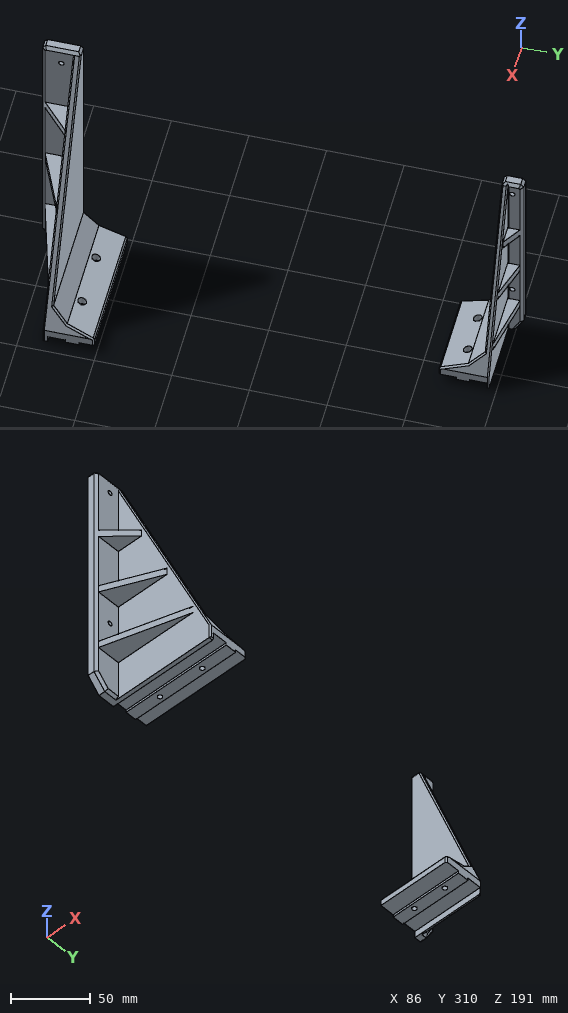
import cadquery as cq

SPAN = 310.0

PLATE_THICKNESS = 7.0
PLATE_CHAMFER = 2.0
PLATE_HOLE_DIAMETER = 3.5

SHELF_BOTTOM = 5.5
FOOT_CHAMFER_HEIGHT = 10.5
PAD_DROP = 2.0
PAD_WIDTH = 8.7
TOE_HEIGHT = 6.0
SLOPE_RISE = 6.2
GUSSET_SIZE = 10.0

TOE_TOP = SHELF_BOTTOM + TOE_HEIGHT
EDGE_CHAMFER = 1.0

SCREW_HOLE_DIAMETER = 3.5
SCREW_HEAD_DIAMETER = 5.3
SCREW_SEAT_HEIGHT = 5.0

RIB_COUNT = 3
RIB_THICKNESS = 5.5
RIB_SETBACK = 3.0


def plate(height, foot_start, foot_end):
    """Upright plate down to the foot, bevelled around its +X face."""
    return (
        cq.Workplane("YZ")
        .moveTo(foot_start, 0)
        .lineTo(foot_end, 0)
        .lineTo(foot_end, height)
        .lineTo(PLATE_CHAMFER, height)
        .lineTo(0, height - PLATE_CHAMFER)
        .lineTo(0, FOOT_CHAMFER_HEIGHT)
        .close()
        .extrude(PLATE_THICKNESS)
        .faces(">X")
        .chamfer(PLATE_CHAMFER)
    )


def web_and_shelf(length, height, plate_width, web_start, toe_reach, foot_end, pad_start):
    """Web with the shelf along its inner side, cut to the sloping outline."""
    pad_end = pad_start + PAD_WIDTH
    slope_start = plate_width + GUSSET_SIZE
    slope_top = TOE_TOP + SLOPE_RISE
    section = (
        cq.Workplane("YZ")
        .moveTo(web_start, 0)
        .lineTo(foot_end, 0)
        .lineTo(foot_end, SHELF_BOTTOM)
        .lineTo(pad_start, SHELF_BOTTOM)
        .lineTo(pad_start, SHELF_BOTTOM - PAD_DROP)
        .lineTo(pad_end, SHELF_BOTTOM - PAD_DROP)
        .lineTo(pad_end, SHELF_BOTTOM)
        .lineTo(toe_reach, SHELF_BOTTOM)
        .lineTo(toe_reach, TOE_TOP)
        .lineTo(slope_start, slope_top)
        .lineTo(plate_width, slope_top + GUSSET_SIZE)
        .lineTo(plate_width, height - PLATE_CHAMFER)
        .lineTo(plate_width - PLATE_CHAMFER, height)
        .lineTo(web_start, height)
        .close()
        .extrude(length)
    )

    outline = (
        cq.Workplane("XZ")
        .lineTo(length, 0)
        .lineTo(length, TOE_TOP)
        .lineTo(PLATE_THICKNESS, height - PLATE_CHAMFER)
        .lineTo(PLATE_THICKNESS - PLATE_CHAMFER, height)
        .lineTo(0, height)
        .close()
        .extrude(-toe_reach)
    )
    block = section.intersect(outline)

    run = length - PLATE_THICKNESS
    rise = height - PLATE_CHAMFER - TOE_TOP
    sloping_face = block.faces(cq.selectors.DirectionMinMaxSelector(cq.Vector(rise, 0, run)))
    end_edges = block.faces(">X").edges("<Y or >Y or <Z")
    bevelled_edges = sloping_face.edges("not |Y").vals() + end_edges.vals()
    block = block.newObject(bevelled_edges).chamfer(EDGE_CHAMFER)

    toe_slope = SLOPE_RISE / (toe_reach - slope_start)
    toe_corner = (
        cq.Workplane("YZ")
        .moveTo(toe_reach, TOE_TOP - EDGE_CHAMFER)
        .lineTo(toe_reach, TOE_TOP + EDGE_CHAMFER)
        .lineTo(toe_reach - EDGE_CHAMFER, TOE_TOP + EDGE_CHAMFER)
        .lineTo(toe_reach - EDGE_CHAMFER, TOE_TOP + EDGE_CHAMFER * toe_slope)
        .close()
        .extrude(length)
    )
    return block.cut(toe_corner)


def rib(tip_x, web_start, height):
    """Flat triangle bracing the plate against the outer face of the web, centred on its height."""
    return (
        cq.Workplane("XY", origin=(0, 0, height - RIB_THICKNESS / 2))
        .moveTo(PLATE_THICKNESS, PLATE_CHAMFER)
        .lineTo(tip_x, web_start)
        .lineTo(PLATE_THICKNESS, web_start)
        .close()
        .extrude(RIB_THICKNESS)
    )


def plate_holes(plate_width, heights):
    """Round holes through the plate, along its centre line."""
    return (
        cq.Workplane("YZ")
        .pushPoints([(plate_width / 2, height) for height in heights])
        .circle(PLATE_HOLE_DIAMETER / 2)
        .extrude(PLATE_THICKNESS)
    )


def screw_holes(places, screw_y, top):
    """Vertical counterbored holes through the shelf, open upwards."""
    points = [(x, screw_y) for x in places]
    shanks = cq.Workplane("XY").pushPoints(points).circle(SCREW_HOLE_DIAMETER / 2).extrude(top)
    heads = (
        cq.Workplane("XY", origin=(0, 0, SHELF_BOTTOM + SCREW_SEAT_HEIGHT))
        .pushPoints(points)
        .circle(SCREW_HEAD_DIAMETER / 2)
        .extrude(top)
    )
    return shanks.union(heads)


def bracket(length, height, plate_width, web_thickness, toe_reach, foot_start, foot_end, pad_start,
            plate_hole_heights, screw_places, screw_to_toe, first_rib_height, rib_spacing):
    """One bracket: back of the plate on X = 0, outer face of the plate on Y = 0, foot on Z = 0."""
    web_start = plate_width - web_thickness
    body = web_and_shelf(length, height, plate_width, web_start, toe_reach, foot_end, pad_start)
    body = body.union(plate(height, foot_start, foot_end))

    slope = (length - PLATE_THICKNESS) / (height - PLATE_CHAMFER - TOE_TOP)
    for index in range(RIB_COUNT):
        rib_height = first_rib_height + index * rib_spacing
        rib_top = rib_height + RIB_THICKNESS / 2
        tip_x = length - slope * (rib_top - TOE_TOP) - RIB_SETBACK
        body = body.union(rib(tip_x, web_start, rib_height))

    body = body.cut(plate_holes(plate_width, plate_hole_heights))
    return body.cut(screw_holes(screw_places, toe_reach - screw_to_toe, height))


tall_bracket = bracket(
    length=86.0,
    height=191.0,
    plate_width=25.0,
    web_thickness=5.0,
    toe_reach=53.3,
    foot_start=10.0,
    foot_end=23.2,
    pad_start=34.7,
    plate_hole_heights=(61.7, 179.0),
    screw_places=(24.8, 61.0),
    screw_to_toe=14.0,
    first_rib_height=35.0,
    rib_spacing=50.0,
)

short_bracket = bracket(
    length=56.0,
    height=143.8,
    plate_width=14.0,
    web_thickness=4.0,
    toe_reach=42.2,
    foot_start=6.0,
    foot_end=11.2,
    pad_start=22.3,
    plate_hole_heights=(41.5, 135.2),
    screw_places=(15.0, 41.0),
    screw_to_toe=15.0,
    first_rib_height=29.0,
    rib_spacing=34.7,
).mirror("XZ").translate((0, SPAN, 0))

result = cq.Compound.makeCompound([tall_bracket.val(), short_bracket.val()])